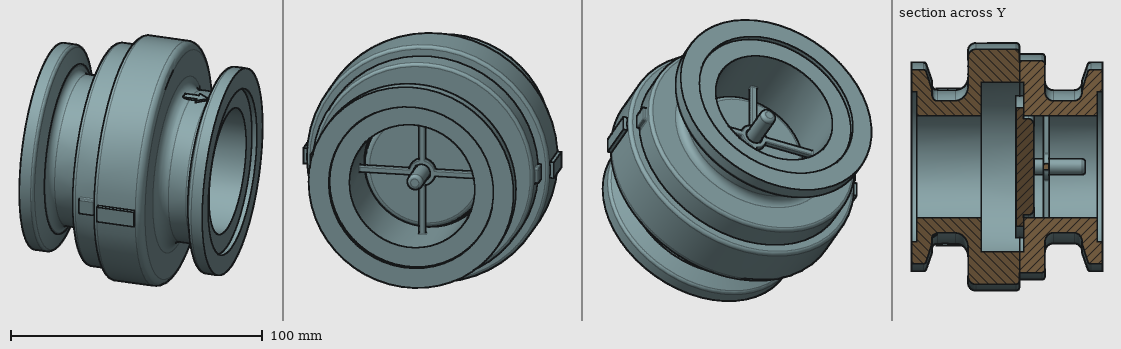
import cadquery as cq
import math


TOLERANCE = 0.01
CURVE_SAG = 0.3

LENGTH = 75.9
END_X = LENGTH / 2
SPLIT_X = -5.0

FLANGE_DIA = 83.1
FLANGE_RIM = 5.7
FLANGE_DEPTH = 8.2
FLANGE_ANGLE = 19
FLANGE_ROUND = 1.4
RECESS_DIA = 66.8
RECESS_DEPTH = 2.0
NECK_DIA = 61.0
BORE_DIA = 50.8

INLET_RING_DIA = 89.7
INLET_RING_X = -15.1
INLET_RING_ROUND = 1.3
INLET_RING_ROOT = 3.2
INLET_FLANGE_ROOT = 3.0
SEAT_X = -6.6

OUTLET_RING_DIA = 98.4
OUTLET_RING_END_X = 15.5
OUTLET_RING_FRONT_ROUND = 1.4
OUTLET_RING_BACK_ROUND = 3.1
OUTLET_RING_ROOT = 5.0
OUTLET_FLANGE_ROOT = 2.0
CHAMBER_DIA = 73.9
CHAMBER_END_X = 10.1

BUTTON_SIZE = 6.5
BUTTON_X = -8.7
BUTTON_SPAN = 92.5
BUTTON_CORNER_ROUND = 0.8
BUTTON_EDGE_ROUND = 0.4
PAD_WIDTH = 6.5
PAD_START_X = -2.9
PAD_SPAN = 101.5

ARROW_START_X = 17.7
ARROW_TIP_X = 28.1
ARROW_HEAD_LENGTH = 4.6
ARROW_HEAD_WIDTH = 6.3
ARROW_SHAFT_WIDTH = 3.1
ARROW_SPAN = 62.5

SPIDER_X = -16.7
SPIDER_DEPTH = 2.4
ARM_COUNT = 4
ARM_WIDTH = 2.5
ARM_ROUND = 0.4
HUB_DIA = 10.9
HUB_CORNER_ROUND = 0.4
GUIDE_HOLE_DIA = 6.9

STEM_DIA = 6.4
STEM_TIP_X = -31.2
STEM_ROUND = 1.5
PLUG_DIA = 49.2
PLUG_X = -10.8
PLUG_ROUND = 2.2
HEAD_DIA = 56.3
HEAD_THICKNESS = 3.0


def disc(diameter, start_x, end_x):
    return cq.Workplane("YZ", origin=(start_x, 0, 0)).circle(diameter / 2).extrude(end_x - start_x)


def round_circle(body, diameter, x, radius):
    """Fillet the circular edge of the given diameter at the given X."""
    edges = [
        edge
        for edge in body.edges("%CIRCLE").vals()
        if abs(edge.radius() - diameter / 2) < TOLERANCE and abs(edge.Center().x - x) < TOLERANCE
    ]
    return body.newObject(edges).fillet(radius)


def flanged_body(side, root_round, ring_dia, ring_near_x, ring_far_x):
    """Flange, neck and ring; side is -1 for the inlet end and 1 for the outlet end."""
    end_x = side * END_X
    rim_x = side * (END_X - FLANGE_RIM)
    neck_x = side * (END_X - FLANGE_DEPTH)
    slope_drop = (FLANGE_DEPTH - FLANGE_RIM) / math.tan(math.radians(FLANGE_ANGLE))
    body = (
        cq.Workplane("XY")
        .moveTo(end_x, 0)
        .lineTo(end_x, FLANGE_DIA / 2)
        .lineTo(rim_x, FLANGE_DIA / 2)
        .lineTo(neck_x, FLANGE_DIA / 2 - slope_drop)
        .lineTo(neck_x, NECK_DIA / 2)
        .lineTo(ring_near_x, NECK_DIA / 2)
        .lineTo(ring_near_x, ring_dia / 2)
        .lineTo(ring_far_x, ring_dia / 2)
        .lineTo(ring_far_x, 0)
        .close()
        .revolve(360, (0, 0, 0), (1, 0, 0))
    )
    body = round_circle(body, FLANGE_DIA, rim_x, FLANGE_ROUND)
    body = round_circle(body, NECK_DIA, neck_x, root_round)
    recess = disc(RECESS_DIA, end_x, end_x - side * RECESS_DEPTH)
    return body.cut(recess)


def add_marker_buttons(body):
    """Two rounded square buttons, each blended into the ring at its root."""
    buttons = (
        cq.Workplane("XY")
        .box(BUTTON_SIZE, BUTTON_SPAN, BUTTON_SIZE)
        .edges("|Y")
        .fillet(BUTTON_CORNER_ROUND)
        .faces("<Y or >Y")
        .edges()
        .fillet(BUTTON_EDGE_ROUND)
        .translate((BUTTON_X, 0, 0))
    )
    body = body.union(buttons)
    root_edges = [
        edge
        for edge in body.edges().vals()
        if abs(edge.Center().x - BUTTON_X) < BUTTON_SIZE
        and abs(edge.Center().z) < BUTTON_SIZE
        and INLET_RING_DIA / 2 - CURVE_SAG < abs(edge.Center().y) < INLET_RING_DIA / 2 + TOLERANCE
    ]
    return body.newObject(root_edges).fillet(BUTTON_EDGE_ROUND)


def marker_pads():
    pad_end_x = OUTLET_RING_END_X - OUTLET_RING_BACK_ROUND
    length = pad_end_x - PAD_START_X
    return cq.Workplane("XY").box(length, PAD_SPAN, PAD_WIDTH).translate((PAD_START_X + length / 2, 0, 0))


def flow_arrows():
    head_x = ARROW_TIP_X - ARROW_HEAD_LENGTH
    return (
        cq.Workplane("XY")
        .moveTo(ARROW_START_X, -ARROW_SHAFT_WIDTH / 2)
        .lineTo(head_x, -ARROW_SHAFT_WIDTH / 2)
        .lineTo(head_x, -ARROW_HEAD_WIDTH / 2)
        .lineTo(ARROW_TIP_X, 0)
        .lineTo(head_x, ARROW_HEAD_WIDTH / 2)
        .lineTo(head_x, ARROW_SHAFT_WIDTH / 2)
        .lineTo(ARROW_START_X, ARROW_SHAFT_WIDTH / 2)
        .close()
        .extrude(ARROW_SPAN / 2, both=True)
    )


def add_spider(body):
    """Hub on four arms, blended into the bore wall at the arm ends."""
    spider_end_x = SPIDER_X + SPIDER_DEPTH
    arm_reach = (BORE_DIA + NECK_DIA) / 4
    spider = disc(HUB_DIA, SPIDER_X, spider_end_x)
    for index in range(ARM_COUNT):
        arm = (
            cq.Workplane("XY")
            .box(SPIDER_DEPTH, arm_reach, ARM_WIDTH, centered=(False, False, True))
            .translate((SPIDER_X, 0, 0))
            .rotate((0, 0, 0), (1, 0, 0), index * 360 / ARM_COUNT)
        )
        spider = spider.union(arm)
    hub_corners = cq.selectors.BoxSelector(
        (SPIDER_X - TOLERANCE, -HUB_DIA / 2, -HUB_DIA / 2),
        (spider_end_x + TOLERANCE, HUB_DIA / 2, HUB_DIA / 2),
    )
    spider = spider.edges("|X").edges(hub_corners).fillet(HUB_CORNER_ROUND)
    spider = spider.faces("<X or >X").edges().fillet(ARM_ROUND)
    spider = spider.cut(disc(GUIDE_HOLE_DIA, SPIDER_X, spider_end_x))
    body = body.union(spider)
    root_edges = [
        edge
        for edge in body.edges().vals()
        if SPIDER_X - TOLERANCE < edge.Center().x < spider_end_x + TOLERANCE
        and abs(math.hypot(edge.Center().y, edge.Center().z) - BORE_DIA / 2) < CURVE_SAG
    ]
    return body.newObject(root_edges).fillet(ARM_ROUND)


def make_inlet_housing():
    body = flanged_body(-1, INLET_FLANGE_ROOT, INLET_RING_DIA, INLET_RING_X, SPLIT_X)
    body = round_circle(body, NECK_DIA, INLET_RING_X, INLET_RING_ROOT)
    body = round_circle(body, INLET_RING_DIA, INLET_RING_X, INLET_RING_ROUND)
    body = add_marker_buttons(body)
    body = body.cut(disc(BORE_DIA, -END_X, SPLIT_X))
    body = body.cut(disc(CHAMBER_DIA, SEAT_X, SPLIT_X))
    return add_spider(body)


def make_outlet_housing():
    body = flanged_body(1, OUTLET_FLANGE_ROOT, OUTLET_RING_DIA, OUTLET_RING_END_X, SPLIT_X)
    body = round_circle(body, NECK_DIA, OUTLET_RING_END_X, OUTLET_RING_ROOT)
    body = round_circle(body, OUTLET_RING_DIA, OUTLET_RING_END_X, OUTLET_RING_BACK_ROUND)
    body = round_circle(body, OUTLET_RING_DIA, SPLIT_X, OUTLET_RING_FRONT_ROUND)
    body = body.union(marker_pads()).union(flow_arrows())
    body = body.cut(disc(BORE_DIA, SPLIT_X, END_X))
    return body.cut(disc(CHAMBER_DIA, SPLIT_X, CHAMBER_END_X))


def make_poppet():
    stem = disc(STEM_DIA, STEM_TIP_X, PLUG_X).faces("<X").edges().fillet(STEM_ROUND)
    plug = disc(PLUG_DIA, PLUG_X, SEAT_X).faces("<X").edges().fillet(PLUG_ROUND)
    head = disc(HEAD_DIA, SEAT_X, SEAT_X + HEAD_THICKNESS)
    return head.union(plug).union(stem)


inlet_housing = make_inlet_housing()
outlet_housing = make_outlet_housing()
poppet = make_poppet()

result = cq.Compound.makeCompound([inlet_housing.val(), outlet_housing.val(), poppet.val()])